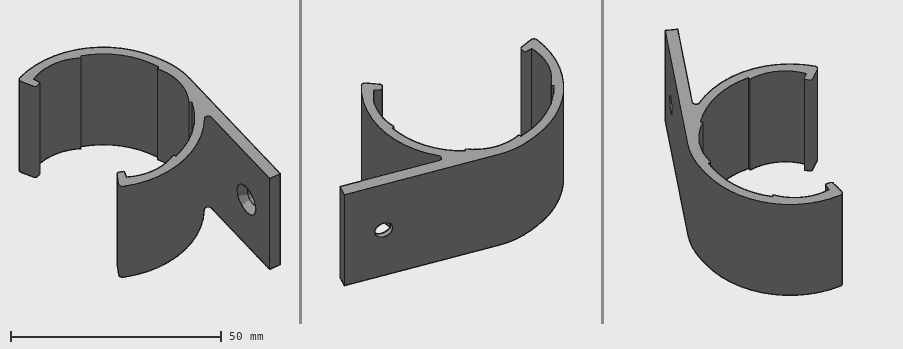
import cadquery as cq
import math


total_length = 63.2
width = 30.0

outer_radius = 24.0
bore_radius = 21.7

pad_spacing = 90
pad_angles = (180, 180 - pad_spacing, 180 - 2 * pad_spacing)
pad_face_radius = 13.8
pad_center_offset = bore_radius - pad_face_radius
pad_half_angle = 18.8
pad_step_half_angle = 19.2

lip_tip_radius = 19.0
lip_outer_angle = 24.5
lip_tip_angle = 23.7
lip_root_angle = 18.2
lip_outer_fillet = 0.95
lip_tip_fillet = 0.65
lip_inner_fillet = 0.2

plate_top = 24.45
plate_thickness = 3.05
plate_bottom = plate_top - plate_thickness
plate_end = total_length - outer_radius
notch_radius = 0.9
shoulder_radius = 20.0

hole_diameter = 4.5
countersink_diameter = 8.0
countersink_angle = 90
hole_from_end = 10.0


def polar(radius, angle, center=(0, 0)):
    """Point at a radius and an angle in degrees around a center."""
    turn = math.radians(angle)
    return (center[0] + radius * math.cos(turn), center[1] + radius * math.sin(turn))


def arc_to(path, radius, start_angle, end_angle, center=(0, 0)):
    """Add the arc that runs around a center from one angle to another."""
    middle = polar(radius, (start_angle + end_angle) / 2, center)
    return path.threePointArc(middle, polar(radius, end_angle, center))


notch_y = plate_bottom - notch_radius
notch_angle = math.degrees(math.asin(notch_y / (outer_radius + notch_radius)))
notch_center = polar(outer_radius + notch_radius, notch_angle)

shoulder_center = (0, plate_top - shoulder_radius)
shoulder_slope = math.degrees(math.acos((outer_radius - shoulder_radius) / shoulder_center[1]))
shoulder_angle = 90 + shoulder_slope


def pad_point(pad_angle, offset_angle):
    """Point on a pad face, seen from the pipe axis at an angle away from mid pad."""
    turn = math.radians(offset_angle)
    across = pad_center_offset * math.sin(turn)
    radius = pad_center_offset * math.cos(turn) + math.sqrt(pad_face_radius**2 - across**2)
    return polar(radius, pad_angle + offset_angle)


def outer_outline(path):
    """Outside from the right lip, around the plate, to the left lip."""
    path = arc_to(path, outer_radius, -lip_outer_angle, notch_angle)
    path = arc_to(path, notch_radius, 180 + notch_angle, 90, notch_center)
    path = path.lineTo(plate_end, plate_bottom)
    path = path.lineTo(plate_end, plate_top)
    path = path.lineTo(0, plate_top)
    path = arc_to(path, shoulder_radius, 90, shoulder_angle, shoulder_center)
    path = path.lineTo(*polar(outer_radius, shoulder_angle))
    return arc_to(path, outer_radius, shoulder_angle, 180 + lip_outer_angle)


def inner_outline(path):
    """Inside from the left lip, across pads and bore, to the right lip."""
    path = path.lineTo(*polar(lip_tip_radius, 180 + lip_tip_angle))
    path = arc_to(path, lip_tip_radius, 180 + lip_tip_angle, 180 + lip_root_angle)
    for angle in pad_angles:
        start_offset = lip_root_angle if angle == pad_angles[0] else pad_half_angle
        end_offset = lip_root_angle if angle == pad_angles[-1] else pad_half_angle
        path = path.lineTo(*pad_point(angle, start_offset))
        path = path.threePointArc(pad_point(angle, 0), pad_point(angle, -end_offset))
        if angle != pad_angles[-1]:
            bore_start = angle - pad_step_half_angle
            bore_end = angle - pad_spacing + pad_step_half_angle
            path = path.lineTo(*polar(bore_radius, bore_start))
            path = arc_to(path, bore_radius, bore_start, bore_end)
    path = path.lineTo(*polar(lip_tip_radius, -lip_root_angle))
    return arc_to(path, lip_tip_radius, -lip_root_angle, -lip_tip_angle)


def round_lips(body):
    """Round the three free corners of both lips."""
    corners = (
        (outer_radius, lip_outer_angle, lip_outer_fillet),
        (lip_tip_radius, lip_tip_angle, lip_tip_fillet),
        (lip_tip_radius, lip_root_angle, lip_inner_fillet),
    )
    for radius, angle, fillet in corners:
        for lip_angle in (-angle, 180 + angle):
            x, y = polar(radius, lip_angle)
            corner = cq.selectors.NearestToPointSelector((x, y, width / 2))
            body = body.edges("|Z").edges(corner).fillet(fillet)
    return body


def cut_screw_hole(body):
    """Screw hole through the plate, countersunk on its underside."""
    underside = cq.Plane(
        origin=(plate_end - hole_from_end, plate_bottom, width / 2),
        xDir=(1, 0, 0),
        normal=(0, -1, 0),
    )
    return body.copyWorkplane(cq.Workplane(underside)).cskHole(
        hole_diameter, countersink_diameter, countersink_angle, plate_thickness
    )


outline = cq.Workplane("XY").moveTo(*polar(outer_radius, -lip_outer_angle))
outline = inner_outline(outer_outline(outline)).close()
result = cut_screw_hole(round_lips(outline.extrude(width)))